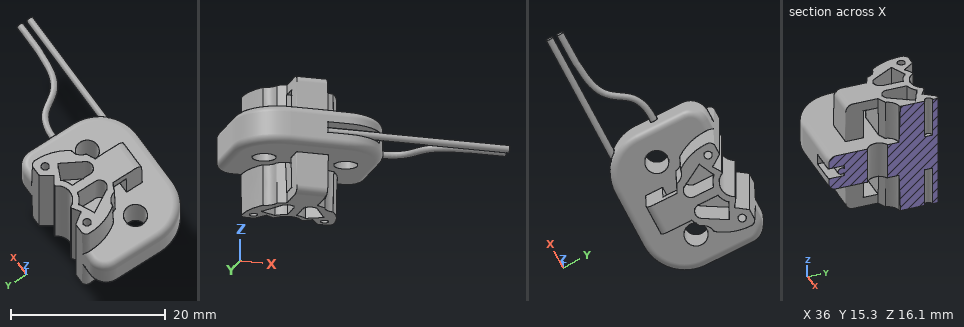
import cadquery as cq
import math


plate_width = 20.0
plate_depth = 15.3
plate_thickness = 5.15
back_corner_radius = 2.5
front_corner_radius = 6.0
plate_edge_radius = 1.0
mount_hole_diameter = 3.1
mount_hole_x = 5.5
mount_hole_y = -8.45

overall_height = 16.1
draft_angle = 1
ear_inner_x = 4.2
ear_outer_x = 5.6
clip_half_width = 6.23
ear_corner_y = -0.85
ear_corner_middle = (-6.05, -0.3)
flank_middle = (-5.85, -3.3)
flank_end = (-4.7, -5.45)
scallop_middle = (-3.67, -5.9)
scallop_end = (-3.25, -6.75)
cradle_radius = 1.98
cradle_tip_y = -0.85
cradle_tip_outer_x = 2.0
valley = (3.1, -1.6)
pin_hole_diameter = 1.05
pin_hole_x = 4.8
pin_hole_y = -1.35

hook_half_width = 2.05
hook_root_y = -7.3
hook_front_y = -11.77
hook_edge_radius = 1.0
window_front_y = -9.35
hook_top_thickness = 1.4

pocket_inner_radius = 2.8
pocket_web_half = 0.6
pocket_top_x = 2.05
pocket_outer_corner = (-4.2, -2.95)
pocket_flank_slope = 1.72
pocket_tip_radius = 0.97

wire_diameter = 1.0
overall_length = 36
wire_end_x = overall_length - plate_width / 2
straight_wire_y = -13.45
slot_start_x = 1.0
slot_height = 1.45
slot_back_y = -13.05
curved_wire_y = -6.55
curved_wire_end_y = -11.95
curved_wire_bends = [(11.3, -6.6), (13.7, -7.5), (15.62, -10.0), (18.0, -11.45), (20.9, -11.85)]
wire_embed = 1.08

plate_top = plate_thickness / 2
clip_top = overall_height / 2
clip_height = clip_top - plate_top


def make_plate():
    plate = (
        cq.Workplane("XY")
        .box(plate_width, plate_depth, plate_thickness)
        .translate((0, -plate_depth / 2, 0))
    )
    plate = plate.edges("|Z and >Y").fillet(back_corner_radius)
    plate = plate.edges("|Z and <Y").fillet(front_corner_radius)
    plate = plate.faces("|Z").edges().fillet(plate_edge_radius)
    mount_holes = (
        cq.Workplane("XY")
        .pushPoints([(-mount_hole_x, mount_hole_y), (mount_hole_x, mount_hole_y)])
        .circle(mount_hole_diameter / 2)
        .extrude(plate_thickness, both=True)
    )
    slot = (
        cq.Workplane("XY")
        .box(plate_width, plate_depth, slot_height, centered=(False, False, True))
        .translate((slot_start_x, slot_back_y - plate_depth, 0))
    )
    return plate.cut(mount_holes).cut(slot)


def make_clip_block():
    ear_outer = (-ear_outer_x, 0)
    ear_side = (-clip_half_width, ear_corner_y)
    hook_root = (-hook_half_width, hook_root_y)
    hook_front = (-hook_half_width, hook_front_y)

    half_outline = (
        cq.Workplane("XY", origin=(0, 0, clip_top))
        .moveTo(0, 0)
        .lineTo(*ear_outer)
        .threePointArc(ear_corner_middle, ear_side)
        .threePointArc(flank_middle, flank_end)
        .threePointArc(scallop_middle, scallop_end)
        .lineTo(*hook_root)
        .lineTo(*hook_front)
        .lineTo(0, hook_front_y)
        .mirrorY()
    )
    block = half_outline.extrude(-clip_top, taper=-draft_angle)
    block = block.faces(">Z").edges("<Y").fillet(hook_edge_radius)
    keep = cq.Workplane("XY").box(plate_width, plate_depth, overall_height)
    return block.intersect(keep.translate((0, -plate_depth / 2, 0)))


def make_cradle_notch():
    cradle_tip_x = math.sqrt(cradle_radius**2 - cradle_tip_y**2)
    valley_x, valley_y = valley
    return (
        cq.Workplane("XY")
        .moveTo(-ear_inner_x, 0)
        .lineTo(-valley_x, valley_y)
        .lineTo(-cradle_tip_outer_x, cradle_tip_y)
        .lineTo(-cradle_tip_x, cradle_tip_y)
        .threePointArc((0, -cradle_radius), (cradle_tip_x, cradle_tip_y))
        .lineTo(cradle_tip_outer_x, cradle_tip_y)
        .lineTo(valley_x, valley_y)
        .lineTo(ear_inner_x, 0)
        .close()
        .extrude(overall_height, both=True)
    )


def make_pocket():
    def arc_point(x):
        return (x, -math.sqrt(pocket_inner_radius**2 - x**2))

    outer_x, outer_y = pocket_outer_corner
    apex = (-pocket_web_half, outer_y - pocket_flank_slope * (-pocket_web_half - outer_x))
    pocket = (
        cq.Workplane("XY", origin=(0, 0, plate_top))
        .moveTo(*arc_point(-pocket_top_x))
        .lineTo(outer_x, outer_y)
        .lineTo(*apex)
        .lineTo(*arc_point(-pocket_web_half))
        .threePointArc(arc_point(-(pocket_web_half + pocket_top_x) / 2), arc_point(-pocket_top_x))
        .close()
        .extrude(clip_height)
    )
    return pocket.edges("|Z and <Y").fillet(pocket_tip_radius)


def make_clip():
    clip = make_clip_block()
    window_depth = hook_root_y - window_front_y
    window_height = clip_height - hook_top_thickness
    window = (
        cq.Workplane("XY")
        .box(plate_width, window_depth, window_height, centered=(True, False, False))
        .translate((0, window_front_y, plate_top))
    )
    pin_holes = (
        cq.Workplane("XY", origin=(0, 0, plate_top))
        .pushPoints([(-pin_hole_x, pin_hole_y), (pin_hole_x, pin_hole_y)])
        .circle(pin_hole_diameter / 2)
        .extrude(clip_height)
    )
    pocket = make_pocket()
    return clip.cut(window).cut(pin_holes).cut(pocket).cut(pocket.mirror("YZ"))


def make_straight_wire():
    return (
        cq.Workplane("YZ", origin=(slot_start_x, straight_wire_y, 0))
        .circle(wire_diameter / 2)
        .extrude(wire_end_x - slot_start_x)
    )


def make_curved_wire():
    plate_side_x = plate_width / 2
    start = (plate_side_x - wire_embed, curved_wire_y)
    end = (wire_end_x, curved_wire_end_y)
    path = (
        cq.Workplane("XY")
        .moveTo(*start)
        .lineTo(plate_side_x, curved_wire_y)
        .spline(curved_wire_bends + [end], tangents=[(1, 0), (1, 0)], includeCurrent=True)
    )
    return cq.Workplane("YZ", origin=(*start, 0)).circle(wire_diameter / 2).sweep(path)


clip = make_clip()
result = (
    make_plate()
    .union(clip)
    .union(clip.mirror("XY"))
    .union(make_straight_wire())
    .union(make_curved_wire())
    .cut(make_cradle_notch())
)